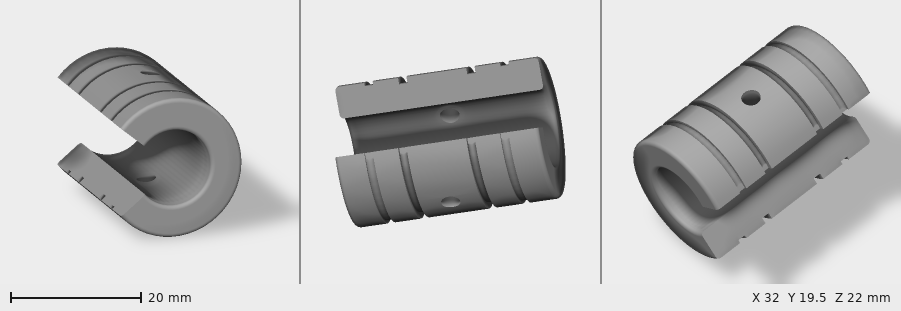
import cadquery as cq
import math

length = 32
outer_diameter = 22.0
bore_diameter = 12.0
edge_radius = 0.65
opening_half_angle = 39.2
groove_width = 1.3
end_groove_offset = 4.67
end_groove_depth = 0.5
inner_groove_offset = 10.0
inner_groove_depth = 1.0
oil_hole_diameter = 3.0
oil_hole_tilt = 7.0

outer_radius = outer_diameter / 2
bore_radius = bore_diameter / 2


def make_sleeve():
    """Plain tube with all four circular end edges rounded."""
    tube = cq.Workplane("YZ").circle(outer_radius).circle(bore_radius).extrude(length / 2, both=True)
    return tube.faces("<X or >X").edges().fillet(edge_radius)


def groove(offset, depth):
    """Ring that cuts a square groove into the outer surface."""
    return (
        cq.Workplane("YZ", origin=(offset - length / 2, 0, 0))
        .circle(outer_radius + depth)
        .circle(outer_radius - depth)
        .extrude(groove_width)
    )


def opening():
    """Wedge from the axis that opens the sleeve along its -Y side."""
    reach = 2 * outer_radius
    half_height = reach * math.tan(math.radians(opening_half_angle))
    return (
        cq.Workplane("YZ")
        .polyline([(0, 0), (-reach, half_height), (-reach, -half_height)])
        .close()
        .extrude(length, both=True)
    )


def oil_hole(side):
    """Radial hole through the upper (side=1) or lower (side=-1) wall."""
    tilt = math.radians(oil_hole_tilt)
    direction = cq.Vector(0, math.sin(tilt), side * math.cos(tilt))
    return cq.Solid.makeCylinder(oil_hole_diameter / 2, outer_diameter, cq.Vector(0, 0, 0), direction)


result = make_sleeve()

for offset, depth in (
    (end_groove_offset, end_groove_depth),
    (inner_groove_offset, inner_groove_depth),
):
    for start in (offset, length - offset - groove_width):
        result = result.cut(groove(start, depth))

result = result.cut(opening())

for side in (1, -1):
    result = result.cut(oil_hole(side))